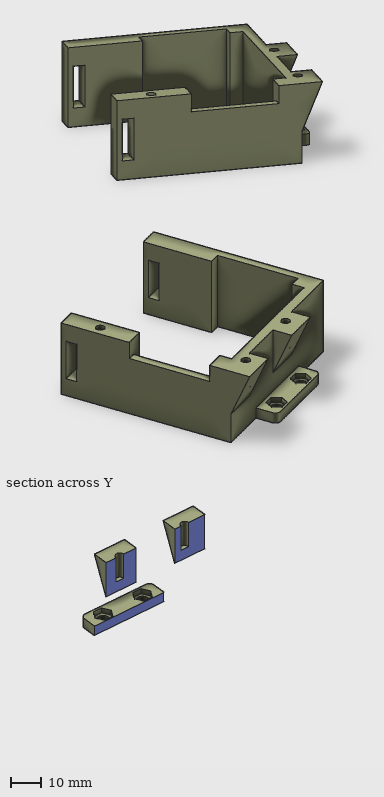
import cadquery as cq
import math

width = 65.0
total_depth = 72.5
height = 28.0

tab_reach = 8.3
frame_depth = total_depth - tab_reach
back_thickness = 3.55
side_thickness = 3.0
pad_width = 7.2
corner_pad_length = 8.05
front_pad_length = 25.8
low_wall_drop = 6.3

slot_front = 1.9
slot_length = 4.0
slot_height = 14.65

lug_reach = 7.1
lug_height = 16.75
lug_width = 13.0
middle_lug_left = 22.5
right_lug_left = width - lug_width

screw_diameter = 3.1
screw_depth = 10.0
screw_offset = 1.0
middle_screw_x = 28.5
right_screw_x = 56.4

tab_width = 29.95
tab_thickness = 4.0
tab_corner_radius = 1.95
bolt_diameter = 4.0
bolt_spacing = 17.0
bolt_offset = 4.35
nut_across_flats = 6.0
nut_across_corners = nut_across_flats / math.cos(math.pi / 6)
nut_depth = 2.0


def box(x, y, z, x_size, y_size, z_size):
    """Box with its minimum corner at (x, y, z)."""
    return cq.Workplane("XY").box(x_size, y_size, z_size, centered=False).translate((x, y, z))


def make_frame():
    wall_length = frame_depth - front_pad_length - corner_pad_length
    low_wall_height = height - low_wall_drop
    right_wall_x = width - side_thickness
    frame = box(0, frame_depth - back_thickness, 0, width, back_thickness, height)
    frame = frame.union(box(0, 0, 0, side_thickness, frame_depth, height))
    frame = frame.union(
        box(right_wall_x, front_pad_length, 0, side_thickness, wall_length, low_wall_height)
    )
    for x in (0, width - pad_width):
        frame = frame.union(box(x, 0, 0, pad_width, front_pad_length, height))
        corner_y = frame_depth - corner_pad_length
        frame = frame.union(box(x, corner_y, 0, pad_width, corner_pad_length, height))
    return frame


def make_lug(left):
    """Wedge that is deepest at the top and tapers down into the back wall."""
    wall_middle = frame_depth - back_thickness / 2
    return (
        cq.Workplane("YZ", origin=(left, 0, 0))
        .moveTo(wall_middle, height)
        .lineTo(frame_depth + lug_reach, height)
        .lineTo(frame_depth, height - lug_height)
        .lineTo(wall_middle, height - lug_height)
        .close()
        .extrude(lug_width)
    )


def make_tab():
    tab = box((width - tab_width) / 2, frame_depth, 0, tab_width, tab_reach, tab_thickness)
    tab = tab.edges("|Z and >Y").fillet(tab_corner_radius)
    bolt_y = frame_depth + bolt_offset
    bolt_points = [((width + side * bolt_spacing) / 2, bolt_y) for side in (-1, 1)]
    bolts = cq.Workplane("XY").pushPoints(bolt_points).circle(bolt_diameter / 2).extrude(tab_thickness)
    nuts = (
        cq.Workplane("XY", origin=(0, 0, tab_thickness - nut_depth))
        .pushPoints(bolt_points)
        .polygon(6, nut_across_corners)
        .extrude(nut_depth)
    )
    return tab.cut(bolts).cut(nuts)


def make_screw_holes():
    screw_y = frame_depth + screw_offset
    points = [
        (middle_screw_x, screw_y),
        (right_screw_x, screw_y),
        (width - pad_width / 2, front_pad_length / 2),
    ]
    return (
        cq.Workplane("XY", origin=(0, 0, height - screw_depth))
        .pushPoints(points)
        .circle(screw_diameter / 2)
        .extrude(screw_depth)
    )


slots = box(0, slot_front, (height - slot_height) / 2, width, slot_length, slot_height)

result = make_frame().union(make_tab())
for lug_left in (middle_lug_left, right_lug_left):
    result = result.union(make_lug(lug_left))
result = result.cut(make_screw_holes()).cut(slots)